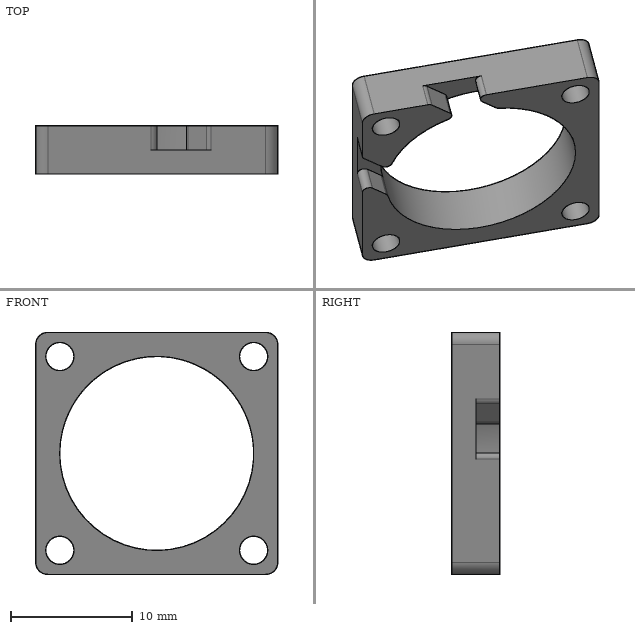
import cadquery as cq
import math

side = 20.0
thickness = 4.0
corner_radius = 1.0
bore_diameter = 16.0
hole_diameter = 2.3
hole_spacing = 16.0

slot_width = 2.5
slot_depth = thickness / 2
slot_mouth_offset = 2.5
slot_edge_radius = 0.5
slot_length = side

half_side = side / 2
bore_radius = bore_diameter / 2


def make_frame():
    """Rounded square plate with a large bore and four corner holes."""
    return (
        cq.Workplane("XZ")
        .rect(side, side)
        .extrude(thickness / 2, both=True)
        .edges("|Y")
        .fillet(corner_radius)
        .faces("<Y")
        .workplane(origin=(0, -thickness / 2, 0))
        .hole(bore_diameter)
        .faces("<Y")
        .workplane(origin=(0, -thickness / 2, 0))
        .rect(hole_spacing, hole_spacing, forConstruction=True)
        .vertices()
        .hole(hole_diameter)
    )


axis_offset = (half_side - slot_mouth_offset) / math.sqrt(2)


def make_slot(axis_distance):
    """Bar rising at 45 degrees toward +X and +Z, axis_distance from the frame centre."""
    return (
        cq.Workplane("XY")
        .box(slot_length, slot_depth, slot_width, centered=(False, False, True))
        .translate((0, 0, axis_distance))
        .rotate((0, 0, 0), (0, 1, 0), -45)
    )


def slot_edge_points():
    """X, Z places where the walls of the upper slot meet the outer side and the bore."""
    points = []
    for wall_side in (-1, 1):
        wall_distance = axis_offset + wall_side * slot_width / 2
        rise = wall_distance * math.sqrt(2)
        points.append((half_side - rise, half_side))
        along_wall = math.sqrt(bore_radius**2 - wall_distance**2)
        bore_x = (along_wall - wall_distance) / math.sqrt(2)
        points.append((bore_x, bore_x + rise))
    return points


result = make_frame()
for distance in (axis_offset, -axis_offset):
    result = result.cut(make_slot(distance))

edge_y = thickness / 2 - slot_depth / 2
for x, z in slot_edge_points():
    for edge_x, edge_z in ((x, z), (z, x)):
        edge = cq.selectors.NearestToPointSelector((edge_x, edge_y, edge_z))
        result = result.edges("|Y").edges(edge).fillet(slot_edge_radius)